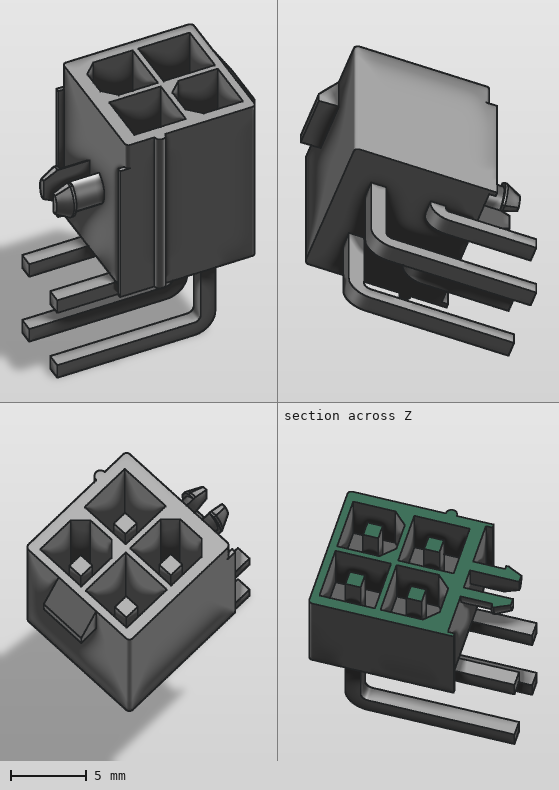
import cadquery as cq
import math


total_height = 19.93

body_width = 9.6
body_depth = 9.57
body_height = 12.74
corner_radius = 0.3

fin_width = corner_radius
fin_depth = 0.45
fin_height = body_height - 2.0

key_radius = 0.4
key_y = 2.47

pitch = 4.2
front_row_y = 2.89
back_row_y = front_row_y + pitch
column_x = pitch / 2
cavity_size = 3.79
cavity_depth = 9.96
cavity_chamfer = 0.9

pin_size = 1.08
pin_top = body_height - 2.99
pin_reach = 4.03
front_pin_drop = 1.65
front_bend_radius = 0.3
back_pin_drop = total_height - body_height
back_bend_radius = 0.5

latch_width = 3.47
latch_depth = 1.42
latch_ramp_height = 2.27
latch_root_height = 3.05
latch_tip_height = 3.13

peg_z = 6.14
peg_length = 3.39
peg_shaft_radius = 1.51
peg_head_radius = 1.77
peg_tip_radius = 1.28
peg_head_start = 2.17
peg_taper_start = 2.35
peg_tip_half_height = 0.78
peg_slot = 1.43
peg_half_height = math.sqrt(peg_shaft_radius**2 - (peg_slot / 2) ** 2)
peg_embed = 0.2


def block(x_min, x_max, y_min, y_max, z_min, z_max):
    """Box given by its limits along each axis."""
    size = (x_max - x_min, y_max - y_min, z_max - z_min)
    return cq.Workplane("XY").box(*size, centered=False).translate((x_min, y_min, z_min))


def side_profile(x_start):
    """Workplane whose local axes are Y and Z and whose extrusion runs along +X."""
    return cq.Workplane("YZ", origin=(x_start, 0, 0))


def make_housing():
    """Block with rounded upright edges, squared again at the front where the fins run."""
    half_width = body_width / 2
    housing = block(-half_width, half_width, 0, body_depth, 0, body_height)
    housing = housing.edges("|Z").fillet(corner_radius)
    for x_min in (-half_width, half_width - fin_width):
        fin = block(x_min, x_min + fin_width, -fin_depth, corner_radius, 0, fin_height)
        housing = housing.union(fin)
    key = cq.Workplane("XY").center(half_width, key_y).circle(key_radius).extrude(body_height)
    return housing.union(key)


def make_latch():
    """Ramp that widens downward from the top edge of the back face."""
    tip_y = body_depth + latch_depth
    profile = [
        (body_depth, body_height),
        (tip_y, body_height - latch_ramp_height),
        (tip_y, body_height - latch_tip_height),
        (body_depth, body_height - latch_root_height),
        (body_depth - corner_radius, body_height - latch_root_height),
        (body_depth - corner_radius, body_height),
    ]
    return side_profile(-latch_width / 2).polyline(profile).close().extrude(latch_width)


def make_cavity(x, y, keyed):
    """Square contact cavity; a keyed one has its two front corners cut off."""
    half = cavity_size / 2
    floor_z = body_height - cavity_depth
    cavity = block(x - half, x + half, y - half, y + half, floor_z, body_height)
    if keyed:
        cavity = cavity.faces("<Y").edges("|Z").chamfer(cavity_chamfer)
    return cavity


def make_pin(x, row_y, drop, bend_radius):
    """Square contact that leaves the housing downward and bends toward the front."""
    back_y = row_y + pin_size / 2
    front_y = row_y - pin_size / 2
    under_z = -drop
    upper_z = under_z + pin_size
    outer_radius = bend_radius + pin_size
    bend_y = front_y - bend_radius
    bend_z = upper_z + bend_radius
    diagonal = math.sqrt(0.5)
    outer_mid = (bend_y + outer_radius * diagonal, bend_z - outer_radius * diagonal)
    inner_mid = (bend_y + bend_radius * diagonal, bend_z - bend_radius * diagonal)
    return (
        side_profile(x - pin_size / 2)
        .moveTo(back_y, pin_top)
        .lineTo(back_y, bend_z)
        .threePointArc(outer_mid, (bend_y, under_z))
        .lineTo(-pin_reach, under_z)
        .lineTo(-pin_reach, upper_z)
        .lineTo(bend_y, upper_z)
        .threePointArc(inner_mid, (front_y, bend_z))
        .lineTo(front_y, pin_top)
        .close()
        .extrude(pin_size)
    )


def make_peg():
    """Round barbed peg, its head flattened above and below, split by an upright slot."""
    turned = (
        cq.Workplane("XY")
        .moveTo(0, peg_embed)
        .lineTo(peg_shaft_radius, peg_embed)
        .lineTo(peg_shaft_radius, -peg_head_start)
        .lineTo(peg_head_radius, -peg_head_start)
        .lineTo(peg_head_radius, -peg_taper_start)
        .lineTo(peg_tip_radius, -peg_length)
        .lineTo(0, -peg_length)
        .close()
        .revolve(360, (0, 0, 0), (0, 1, 0))
    )
    upper_outline = [
        (peg_embed, peg_half_height),
        (-peg_taper_start, peg_half_height),
        (-peg_length, peg_tip_half_height),
    ]
    lower_outline = [(y, -z) for y, z in reversed(upper_outline)]
    flats = (
        side_profile(-peg_head_radius)
        .polyline(upper_outline + lower_outline)
        .close()
        .extrude(2 * peg_head_radius)
    )
    slot = block(
        -peg_slot / 2, peg_slot / 2, -peg_length, peg_embed, -peg_half_height, peg_half_height
    )
    return turned.intersect(flats).cut(slot).translate((0, 0, peg_z))


result = make_housing().union(make_latch()).union(make_peg())

for column in (-1, 1):
    result = result.cut(make_cavity(column * column_x, front_row_y, keyed=column < 0))
    result = result.cut(make_cavity(column * column_x, back_row_y, keyed=column > 0))

for column in (-1, 1):
    x = column * column_x
    result = result.union(make_pin(x, front_row_y, front_pin_drop, front_bend_radius))
    result = result.union(make_pin(x, back_row_y, back_pin_drop, back_bend_radius))